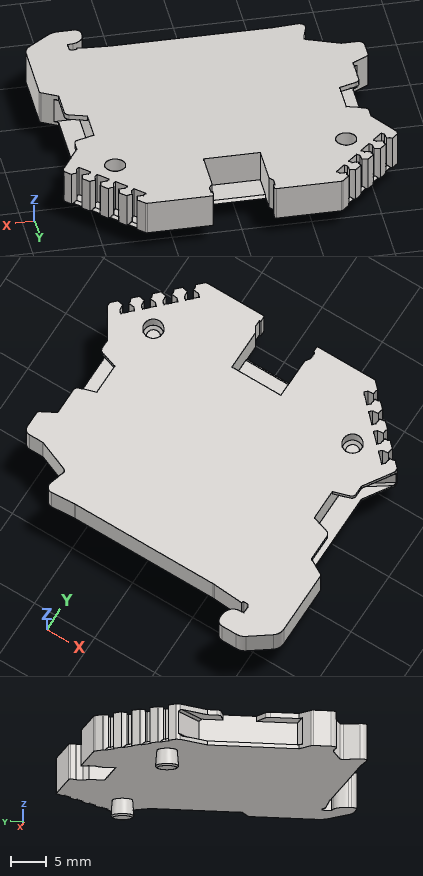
import cadquery as cq
import math

half_width = 23.92
height = 43.5
thickness = 5.1

waist = 21.1
waist_top = 28.6
waist_bottom = 15.45
shoulder_bottom = 14.05
foot_half_width = 23.6
corner_bottom = 33.0
small_round = 0.25
end_round = 0.4
bevel_offset = 57.55
rail_y = 4.85
rail_lip_y = 4.5
rail_flat = 11.55
rail_blend = 2.85

hook_tip_x = 15.0
hook_tip_top = 3.1
hook_throat_x = 17.45
hook_throat_bottom = 3.4
hook_throat_top = 4.8
hook_lip_x = 16.35
hook_lip_slant = 0.15
hook_slant_x = 19.05
hook_slant_top = 3.3
hook_heel_round = 1.9
hook_sole_round = 2.4
hook_toe_round = 1.0
hook_tip_round = 1.9
hook_throat_round = 0.4
hook_lip_round = 0.15

foot_lip_x = 16.6
foot_neck_x = 15.35
foot_neck_y = 8.4
foot_slant_x = 20.4
foot_bottom = 10.45
foot_lip_round = 0.9
foot_neck_round = 0.5
foot_slant_round = 0.25
foot_corner_round = 0.95

notch_half = 4.05
notch_bottom = 34.4
mouth_half = 4.35
lip_bottom = 42.5
relief_half = 4.6
relief_bottom = 41.45
relief_start = 40.65
floor_thickness = 0.45
floor_bevel = 0.4
notch_floor_end = 38.45

slot_count = 4
slot_pitch = 3.1
first_slot = 2.45
slot_mouth_half = 0.85
slot_flare_half = 0.7
slot_flare_inset = 0.4
slot_neck_half = 0.405
slot_neck_inset = 0.7
slot_wide_half = 1.0
slot_wide_inset = 1.45
slot_depth = 2.0
slot_floor_inset = 0.3

pocket_bottom = 0.57
pocket_top = 4.35
pocket_depth_x = 18.1
pocket_wall_top = 29.25
pocket_end_y = 15.1
pocket_mouth_y = 33.3
pocket_chamfer = 0.35
window_inner = (21.0, 25.75)
window_outer = (20.05, 26.7)
window_round = 0.7

pin_x = 16.55
pin_y = 33.5
pin_length = 2.5
pin_root_radius = 1.45
pin_end_radius = 1.65
pin_tip_radius = 1.4
pin_tip_bevel = 0.25
socket_radius = 1.5
socket_depth = 2.65
socket_floor_radius = 1.0

overlap = 0.5


def rounded_polygon(corners):
    """Closed wire through (x, y, radius) corners, each rounded by its radius."""
    wire = None
    for i, (x, y, radius) in enumerate(corners):
        previous = corners[i - 1]
        following = corners[(i + 1) % len(corners)]
        corner = cq.Vector(x, y)
        to_previous = (cq.Vector(previous[0], previous[1]) - corner).normalized()
        to_following = (cq.Vector(following[0], following[1]) - corner).normalized()
        half_angle = to_previous.getAngle(to_following) / 2
        setback = radius / math.tan(half_angle)
        start = corner + to_previous * setback
        if wire is None:
            wire = cq.Workplane("XY").moveTo(start.x, start.y)
        else:
            wire = wire.lineTo(start.x, start.y)
        if radius > 0:
            bisector = (to_previous + to_following).normalized()
            middle = corner + bisector * (radius / math.sin(half_angle) - radius)
            end = corner + to_following * setback
            wire = wire.threePointArc((middle.x, middle.y), (end.x, end.y))
    return wire.close()


def both_sides(solid):
    return solid.union(solid.mirror("YZ"))


def make_plate():
    upper = [
        (notch_half, notch_bottom, 0),
        (notch_half, relief_start, 0),
        (relief_half, relief_bottom, small_round),
        (relief_half, lip_bottom, 0),
        (mouth_half, lip_bottom, 0),
        (mouth_half, height, small_round),
        (bevel_offset - height, height, end_round),
        (half_width, bevel_offset - half_width, small_round),
        (half_width, corner_bottom, small_round),
        (waist, waist_top, 0),
        (waist, waist_bottom, 0),
        (foot_half_width, shoulder_bottom, end_round),
    ]
    rail_hook = [
        (foot_half_width, hook_slant_top, hook_heel_round),
        (hook_slant_x, 0, hook_sole_round),
        (hook_tip_x, 0, hook_toe_round),
        (hook_tip_x, hook_tip_top, hook_tip_round),
        (hook_throat_x, hook_throat_bottom, 0),
        (hook_throat_x, hook_throat_top, hook_throat_round),
        (hook_lip_x + hook_lip_slant, hook_throat_top, hook_lip_round),
        (hook_lip_x, rail_lip_y, 0),
        (rail_flat, rail_y, rail_blend),
    ]
    rail_foot = [
        (-rail_flat, rail_y, rail_blend),
        (-foot_lip_x, rail_lip_y, foot_lip_round),
        (-foot_neck_x, foot_neck_y, foot_neck_round),
        (-foot_slant_x, foot_bottom, foot_slant_round),
        (-foot_half_width, foot_bottom, foot_corner_round),
    ]
    upper_left = [(-x, y, radius) for x, y, radius in reversed(upper)]
    return rounded_polygon(upper + rail_hook + rail_foot + upper_left).extrude(thickness)


def make_notch_floor():
    return (
        cq.Workplane("YZ")
        .moveTo(notch_bottom - overlap, 0)
        .lineTo(notch_floor_end, 0)
        .lineTo(notch_floor_end - floor_bevel, floor_thickness)
        .lineTo(notch_bottom - overlap, floor_thickness)
        .close()
        .extrude(notch_half, both=True)
    )


def make_slot_cutter():
    """Marker slot cutter, with the bevel along X at y = 0 and the plate on the -Y side."""
    slot = (
        cq.Workplane("XY")
        .moveTo(-slot_mouth_half, overlap)
        .lineTo(slot_mouth_half, overlap)
        .lineTo(slot_mouth_half, 0)
        .threePointArc((slot_flare_half, -slot_flare_inset), (slot_neck_half, -slot_neck_inset))
        .lineTo(slot_wide_half, -slot_wide_inset)
        .lineTo(slot_wide_half, -slot_depth)
        .lineTo(-slot_wide_half, -slot_depth)
        .lineTo(-slot_wide_half, -slot_wide_inset)
        .lineTo(-slot_neck_half, -slot_neck_inset)
        .threePointArc((-slot_flare_half, -slot_flare_inset), (-slot_mouth_half, 0))
        .close()
        .extrude(thickness)
    )
    kept_floor = (
        cq.Workplane("YZ")
        .moveTo(-half_width, 0)
        .lineTo(-slot_floor_inset, 0)
        .lineTo(-slot_floor_inset - floor_bevel, floor_thickness)
        .lineTo(-half_width, floor_thickness)
        .close()
        .extrude(slot_pitch, both=True)
    )
    return slot.cut(kept_floor)


def make_marker_slots():
    slot = make_slot_cutter().rotate((0, 0, 0), (0, 0, 1), -45)
    slots = cq.Workplane("XY")
    for i in range(slot_count):
        along = (first_slot + i * slot_pitch) * math.sqrt(0.5)
        slots = slots.union(slot.translate((bevel_offset - height + along, height - along, 0)))
    return both_sides(slots)


def make_side_pockets():
    slant_end = (half_width, pocket_mouth_y)
    slant_start = (pocket_depth_x, pocket_wall_top)
    pocket = (
        cq.Workplane("XY", origin=(0, 0, pocket_bottom))
        .moveTo(pocket_depth_x, pocket_end_y)
        .lineTo(half_width, pocket_end_y)
        .lineTo(*slant_end)
        .lineTo(*slant_start)
        .close()
        .extrude(pocket_top - pocket_bottom)
    )
    slant_middle_x = (slant_start[0] + slant_end[0]) / 2
    slant_middle_y = (slant_start[1] + slant_end[1]) / 2
    for z in (pocket_bottom, pocket_top):
        near_edge = cq.selectors.NearestToPointSelector((slant_middle_x, slant_middle_y, z))
        pocket = pocket.edges(near_edge).chamfer(pocket_chamfer)

    window = rounded_polygon([
        (pocket_depth_x, window_inner[0], 0),
        (pocket_depth_x, window_inner[1], 0),
        (waist, window_outer[1], window_round),
        (waist, window_outer[1] + window_round, 0),
        (half_width, window_outer[1] + window_round, 0),
        (half_width, window_outer[0] - window_round, 0),
        (waist, window_outer[0] - window_round, 0),
        (waist, window_outer[0], window_round),
    ]).extrude(thickness).translate((0, 0, pocket_bottom))
    return both_sides(pocket.union(window))


def make_pins():
    pin = (
        cq.Workplane("XZ")
        .moveTo(0, overlap)
        .lineTo(pin_root_radius, overlap)
        .lineTo(pin_root_radius, 0)
        .lineTo(pin_end_radius, pin_tip_bevel - pin_length)
        .lineTo(pin_tip_radius, -pin_length)
        .lineTo(0, -pin_length)
        .close()
        .revolve(360, (0, 0, 0), (0, 1, 0))
    )
    return both_sides(pin.translate((pin_x, pin_y, 0)))


def make_sockets():
    socket = (
        cq.Workplane("XY", origin=(pin_x, pin_y, thickness - socket_depth))
        .circle(socket_radius)
        .extrude(socket_depth)
        .faces("<Z")
        .chamfer(socket_radius - socket_floor_radius)
    )
    return both_sides(socket)


result = (
    make_plate()
    .union(make_notch_floor())
    .cut(make_marker_slots())
    .cut(make_side_pockets())
    .union(make_pins())
    .cut(make_sockets())
)